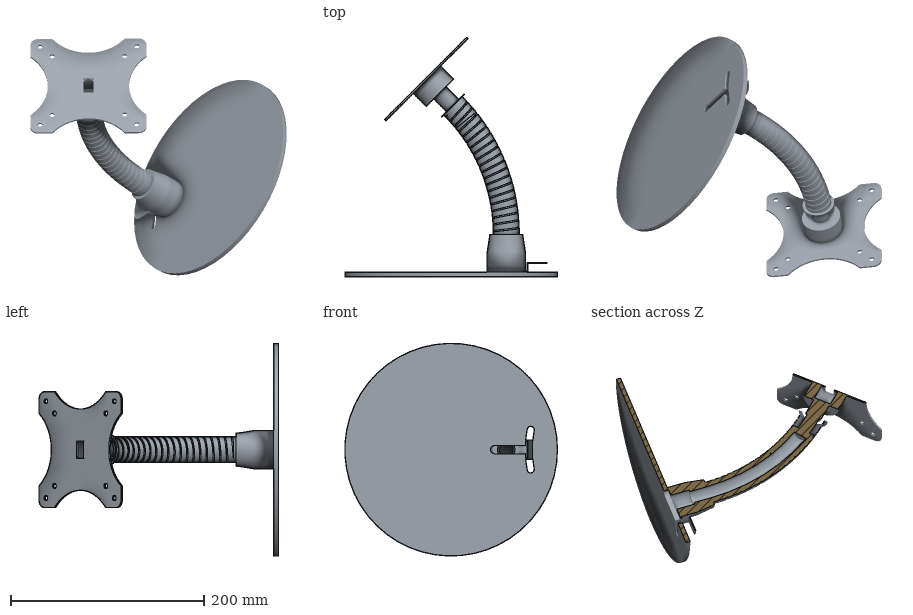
import cadquery as cq
import math

BASE_DIAMETER = 220.0
BASE_THICKNESS = 5.0

COLUMN_X = 57.0
COLUMN_DIAMETER = 40.0
COLUMN_TOP_DIAMETER = 34.0
COLUMN_STRAIGHT = 19.5
COLUMN_HEIGHT = 39.0
COLUMN_BLEND_RADIUS = 10.0
SOCKET_DIAMETER = 18.0
SOCKET_DEPTH = 20.0

ARM_DIAMETER = 27.0
ARM_BORE = 14.0
ARM_BORE_LENGTH = 120.0
ARM_BEND_RADIUS = 188.0
ARM_BEND_ANGLE = 45.0
GROOVE_RADIUS = 0.75
GROOVE_TURNS = 19
GROOVE_POINTS_PER_TURN = 8
COLLAR_LENGTH = 3.0

FLANGE_DIAMETER = 33.0
FLANGE_THICKNESS = 0.5
FLANGE_POCKET_DIAMETER = 25.0
FLANGE_POCKET_DEPTH = 20.0
STEM_DIAMETER = 14.0
SHAFT_DIAMETER = 18.0
SHAFT_LENGTH = 19.13

HEAD_DIAMETER = 40.0
HEAD_LENGTH = 19.0
HEAD_BORE = 18.0
HEAD_BORE_DEPTH = 16.0
PLATE_SIDE = 120.0
PLATE_THICKNESS = 2.0
PLATE_CORNER_RADIUS = 8.0
PLATE_SCALLOP_RADIUS = 48.0
PLATE_SCALLOP_OFFSET = 90.0
PLATE_HOLE_PITCHES = (75.0, 100.0)
PLATE_HOLE_DIAMETER = 5.0
WINDOW_WIDTH = 10.0
WINDOW_HEIGHT = 18.0

CABLE_SLOT_WIDTH = 8.5
CABLE_SLOT_START_X = 40.8
ARC_SLOT_WIDTH = 7.0
ARC_SLOT_MIDDLE_X = 80.3
ARC_SLOT_RADIUS = 110.0
ARC_SLOT_LENGTH = 48.0

BRACKET_THICKNESS = 1.25
BRACKET_BEND_RADIUS = 1.5
BRACKET_WIDTH = 20.0
BRACKET_LEG_X = 78.3
BRACKET_HEIGHT = 10.0
BRACKET_END_X = 99.0
BRACKET_CORNER_RADIUS = 6.0

COLUMN_TOP_Y = BASE_THICKNESS + COLUMN_HEIGHT
BEND_CENTER_X = COLUMN_X - ARM_BEND_RADIUS
ARM_LENGTH = ARM_BEND_RADIUS * math.radians(ARM_BEND_ANGLE)
GROOVE_PITCH = (ARM_LENGTH - 2 * COLLAR_LENGTH) / GROOVE_TURNS


def bend_degrees(length):
    """Angle the arm bends through over a length of its axis."""
    return math.degrees(length / ARM_BEND_RADIUS)


def arm_point(length, radius=0.0, turn=0.0):
    """Point at a length along the arm, offset from its axis by a radius at an angle round it."""
    bend = length / ARM_BEND_RADIUS
    reach = ARM_BEND_RADIUS + radius * math.cos(turn)
    return (
        BEND_CENTER_X + reach * math.cos(bend),
        COLUMN_TOP_Y + reach * math.sin(bend),
        radius * math.sin(turn),
    )


def y_plane(x, y):
    """Plane facing +Y, with local x along +X and local y along -Z."""
    return cq.Plane(origin=(x, y, 0), xDir=(1, 0, 0), normal=(0, 1, 0))


def head_plane(distance):
    """Plane across the straight end of the arm, at a distance past the bend."""
    angle = math.radians(ARM_BEND_ANGLE)
    end_x, end_y, end_z = arm_point(ARM_LENGTH)
    origin = (end_x - distance * math.sin(angle), end_y + distance * math.cos(angle), end_z)
    return cq.Plane(
        origin=origin,
        xDir=(-math.cos(angle), -math.sin(angle), 0),
        normal=(-math.sin(angle), math.cos(angle), 0),
    )


def disc_on(plane, diameter, length):
    return cq.Workplane(plane).circle(diameter / 2).extrude(length)


def base_disc():
    """Round base with a straight cable slot that runs into a curved cross slot."""
    disc = disc_on(y_plane(0, 0), BASE_DIAMETER, BASE_THICKNESS)

    cable_slot_length = ARC_SLOT_MIDDLE_X - CABLE_SLOT_START_X
    cable_slot = (
        cq.Workplane(y_plane(CABLE_SLOT_START_X + cable_slot_length / 2, 0))
        .slot2D(cable_slot_length, CABLE_SLOT_WIDTH)
        .extrude(BASE_THICKNESS)
    )

    half_angle = math.asin((ARC_SLOT_LENGTH - ARC_SLOT_WIDTH) / 2 / ARC_SLOT_RADIUS)
    inner = ARC_SLOT_RADIUS - ARC_SLOT_WIDTH / 2
    outer = ARC_SLOT_RADIUS + ARC_SLOT_WIDTH / 2

    def slot_point(radius, angle):
        return (-radius * math.cos(angle), radius * math.sin(angle))

    end_tip_angle = half_angle + ARC_SLOT_WIDTH / 2 / ARC_SLOT_RADIUS
    arc_slot = (
        cq.Workplane(y_plane(ARC_SLOT_MIDDLE_X + ARC_SLOT_RADIUS, 0))
        .moveTo(*slot_point(outer, -half_angle))
        .threePointArc(slot_point(outer, 0), slot_point(outer, half_angle))
        .threePointArc(slot_point(ARC_SLOT_RADIUS, end_tip_angle), slot_point(inner, half_angle))
        .threePointArc(slot_point(inner, 0), slot_point(inner, -half_angle))
        .threePointArc(slot_point(ARC_SLOT_RADIUS, -end_tip_angle), slot_point(outer, -half_angle))
        .close()
        .extrude(BASE_THICKNESS)
    )
    return disc.cut(cable_slot).cut(arc_slot)


def column():
    """Cylinder that blends into a cone towards the arm."""
    profile = (
        cq.Workplane("XY")
        .moveTo(0, 0)
        .lineTo(COLUMN_DIAMETER / 2, 0)
        .lineTo(COLUMN_DIAMETER / 2, COLUMN_STRAIGHT)
        .lineTo(COLUMN_TOP_DIAMETER / 2, COLUMN_HEIGHT)
        .lineTo(0, COLUMN_HEIGHT)
        .close()
    )
    body = profile.revolve(360, (0, 0, 0), (0, 1, 0))
    shoulder = cq.selectors.BoxSelector(
        (-COLUMN_DIAMETER, COLUMN_STRAIGHT - 1, -COLUMN_DIAMETER),
        (COLUMN_DIAMETER, COLUMN_STRAIGHT + 1, COLUMN_DIAMETER),
    )
    body = body.edges("%CIRCLE").edges(shoulder).fillet(COLUMN_BLEND_RADIUS)
    return body.translate((COLUMN_X, BASE_THICKNESS, 0))


def along_arm(diameter, length=ARM_LENGTH):
    """Round bar of a diameter swept along the bent axis of the arm, from the column up."""
    return (
        cq.Workplane(y_plane(COLUMN_X, COLUMN_TOP_Y))
        .circle(diameter / 2)
        .revolve(bend_degrees(length), (-ARM_BEND_RADIUS, 0, 0), (-ARM_BEND_RADIUS, -1, 0))
    )


def slid_along_arm(body, length):
    """Copy of a body moved along the bent axis of the arm by a length."""
    axis_start = (BEND_CENTER_X, COLUMN_TOP_Y, 0)
    axis_end = (BEND_CENTER_X, COLUMN_TOP_Y, 1)
    return body.rotate(axis_start, axis_end, bend_degrees(length))


def groove_turn():
    """Round-bottomed left-handed groove: one turn, run on by half a turn at both ends."""
    points = []
    for step in range(-GROOVE_POINTS_PER_TURN // 2, GROOVE_POINTS_PER_TURN * 3 // 2 + 1):
        turns = step / GROOVE_POINTS_PER_TURN
        angle = math.pi - 2 * math.pi * turns
        points.append(cq.Vector(*arm_point(GROOVE_PITCH * turns, ARM_DIAMETER / 2, angle)))
    path = cq.Edge.makeSpline(points)
    start = cq.Plane(origin=path.startPoint(), normal=path.tangentAt(0))
    section = cq.Workplane(start).circle(GROOVE_RADIUS)
    return section.sweep(cq.Workplane(path), isFrenet=True)


def grooved_arm(turns):
    """Stretch of arm with a number of groove turns, joined from two equal halves."""
    if turns == 1:
        return along_arm(ARM_DIAMETER, GROOVE_PITCH).cut(groove_turn())
    half_turns = turns // 2
    half = grooved_arm(half_turns)
    other_half = slid_along_arm(half, half_turns * GROOVE_PITCH)
    arm = half.union(other_half, clean=False, glue=True)
    if turns % 2 == 1:
        last_turn = slid_along_arm(grooved_arm(1), (turns - 1) * GROOVE_PITCH)
        arm = arm.union(last_turn, clean=False, glue=True)
    return arm


def gooseneck():
    """Grooved arm with a short plain collar at each end."""
    collar = along_arm(ARM_DIAMETER, COLLAR_LENGTH)
    arm = slid_along_arm(grooved_arm(GROOVE_TURNS), COLLAR_LENGTH)
    arm = arm.union(collar, clean=False)
    return arm.union(slid_along_arm(collar, ARM_LENGTH - COLLAR_LENGTH))


def flange():
    """Thin ring on the end of the arm."""
    return disc_on(head_plane(0), FLANGE_DIAMETER, FLANGE_THICKNESS)


def flange_pocket():
    """Ring-shaped pocket round the stem of the shaft, sunk through the flange along the arm."""
    opening = (
        cq.Workplane(head_plane(0))
        .circle(FLANGE_POCKET_DIAMETER / 2)
        .circle(STEM_DIAMETER / 2)
        .extrude(FLANGE_THICKNESS)
    )
    outer = along_arm(FLANGE_POCKET_DIAMETER, FLANGE_POCKET_DEPTH)
    ring = outer.cut(along_arm(STEM_DIAMETER, FLANGE_POCKET_DEPTH))
    return opening.union(slid_along_arm(ring, ARM_LENGTH - FLANGE_POCKET_DEPTH))


def shaft():
    return disc_on(head_plane(0), SHAFT_DIAMETER, SHAFT_LENGTH)


def head():
    return disc_on(head_plane(SHAFT_LENGTH), HEAD_DIAMETER, HEAD_LENGTH)


def mounting_plate():
    """Square plate with rounded corners, a scallop in each side and two square hole patterns."""
    plane = head_plane(SHAFT_LENGTH + HEAD_LENGTH)
    plate = cq.Workplane(plane).rect(PLATE_SIDE, PLATE_SIDE).extrude(PLATE_THICKNESS)
    plate = plate.edges(cq.selectors.ParallelDirSelector(plane.zDir))
    plate = plate.fillet(PLATE_CORNER_RADIUS)
    scallops = (
        cq.Workplane(plane)
        .polarArray(PLATE_SCALLOP_OFFSET, 0, 360, 4)
        .circle(PLATE_SCALLOP_RADIUS)
        .extrude(PLATE_THICKNESS)
    )
    plate = plate.cut(scallops)
    for pitch in PLATE_HOLE_PITCHES:
        holes = (
            cq.Workplane(plane)
            .rarray(pitch, pitch, 2, 2)
            .circle(PLATE_HOLE_DIAMETER / 2)
            .extrude(PLATE_THICKNESS)
        )
        plate = plate.cut(holes)
    return plate


def head_opening():
    """Rectangular window through the plate and the bore behind it in the head."""
    plate_face = SHAFT_LENGTH + HEAD_LENGTH
    window = (
        cq.Workplane(head_plane(plate_face))
        .rect(WINDOW_WIDTH, WINDOW_HEIGHT)
        .extrude(PLATE_THICKNESS)
    )
    bore = disc_on(head_plane(plate_face - HEAD_BORE_DEPTH), HEAD_BORE, HEAD_BORE_DEPTH)
    return window.union(bore)


def bracket():
    """Sheet strip with a foot under the column, a leg standing off the disc and a tab."""
    foot_x = COLUMN_X + COLUMN_DIAMETER / 4
    leg_outer_x = BRACKET_LEG_X + BRACKET_THICKNESS
    top_y = BASE_THICKNESS + BRACKET_HEIGHT
    strip = (
        cq.Workplane("XY")
        .moveTo(foot_x, BASE_THICKNESS)
        .lineTo(leg_outer_x - BRACKET_BEND_RADIUS, BASE_THICKNESS)
        .radiusArc((leg_outer_x, BASE_THICKNESS + BRACKET_BEND_RADIUS), -BRACKET_BEND_RADIUS)
        .lineTo(leg_outer_x, top_y - BRACKET_THICKNESS)
        .lineTo(BRACKET_END_X, top_y - BRACKET_THICKNESS)
        .lineTo(BRACKET_END_X, top_y)
        .lineTo(BRACKET_LEG_X + BRACKET_BEND_RADIUS, top_y)
        .radiusArc((BRACKET_LEG_X, top_y - BRACKET_BEND_RADIUS), -BRACKET_BEND_RADIUS)
        .lineTo(BRACKET_LEG_X, BASE_THICKNESS + BRACKET_THICKNESS)
        .lineTo(foot_x, BASE_THICKNESS + BRACKET_THICKNESS)
        .close()
        .extrude(BRACKET_WIDTH / 2, both=True)
    )
    return strip.edges("|Y").edges(">X").fillet(BRACKET_CORNER_RADIUS)


def bores():
    """Hollow of the column and the lower arm: a socket, then a bore that follows the bend."""
    socket = disc_on(y_plane(COLUMN_X, BASE_THICKNESS), SOCKET_DIAMETER, SOCKET_DEPTH)
    column_bore = disc_on(y_plane(COLUMN_X, BASE_THICKNESS), ARM_BORE, COLUMN_HEIGHT)
    return socket.union(column_bore).union(along_arm(ARM_BORE, ARM_BORE_LENGTH))


arm = gooseneck().union(flange()).cut(flange_pocket()).union(shaft())
stand = base_disc().union(column()).union(bracket())
plated_head = head().union(mounting_plate()).cut(head_opening())
result = stand.union(arm, clean=False).union(plated_head, clean=False).cut(bores(), clean=False)